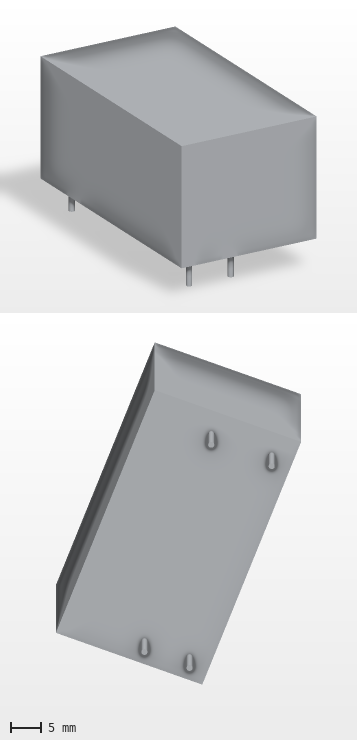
import cadquery as cq

LENGTH = 46.3
WIDTH = 26.0
HEIGHT = 21.9

TOTAL_HEIGHT = 27.1
PIN_DIAMETER = 1.0
PIN_LENGTH = TOTAL_HEIGHT - HEIGHT
PIN_ROW_SPACING = 38.48
FRONT_PIN_Y = -9.25
LEFT_BACK_PIN_Y = 1.5
RIGHT_BACK_PIN_Y = -1.25

LEFT_ROW_X = -PIN_ROW_SPACING / 2
RIGHT_ROW_X = PIN_ROW_SPACING / 2
PIN_POSITIONS = [
    (LEFT_ROW_X, FRONT_PIN_Y),
    (LEFT_ROW_X, LEFT_BACK_PIN_Y),
    (RIGHT_ROW_X, FRONT_PIN_Y),
    (RIGHT_ROW_X, RIGHT_BACK_PIN_Y),
]


def make_housing():
    """Solid block standing on the Z = 0 plane."""
    return cq.Workplane("XY").box(LENGTH, WIDTH, HEIGHT, centered=(True, True, False))


def make_pin(x, y):
    """Round pin whose top end touches the underside of the housing."""
    return cq.Workplane("XY").center(x, y).circle(PIN_DIAMETER / 2).extrude(-PIN_LENGTH)


housing = make_housing()
pins = [make_pin(x, y) for x, y in PIN_POSITIONS]

result = cq.Compound.makeCompound([housing.val(), *[pin.val() for pin in pins]])